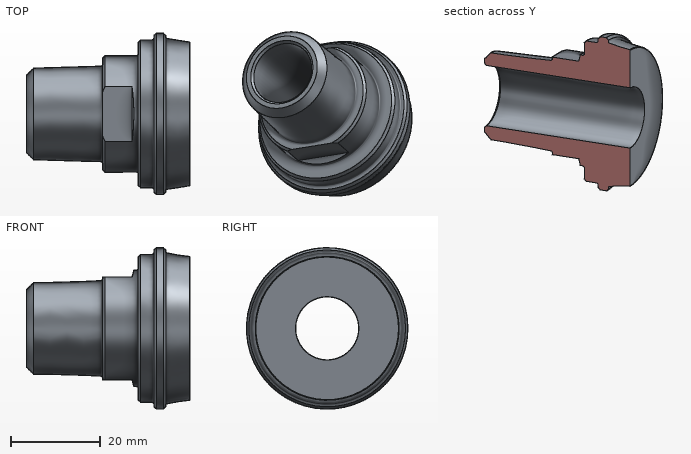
import cadquery as cq
import math

length = 36.5

bore_radius = 14.0 / 2
bore_chamfer = 0.5

tip_chamfer = 1.65
spigot_start_radius = 10.22
spigot_end_radius = 10.65

collar_start = 16.97
collar_radius = 26.0 / 2
flat_height = 11.45
flat_end = 23.55
flat_runout_angle = 15.0

flange_start = 24.93
flange_radius = 33.0 / 2
ring_start = 28.4
ring_end = 31.05
ring_radius = 36.0 / 2

nose_start = 31.3
nose_start_radius = 16.83
nose_end_radius = 16.02
nose_chamfer = 0.15

edge_chamfer = 0.55
root_fillet = 0.4


def root_arc(profile, shoulder_x, radius):
    """Add the concave quarter round where a surface meets the next shoulder."""
    center_x = shoulder_x - root_fillet
    center_r = radius + root_fillet
    middle = root_fillet * math.sqrt(0.5)
    return (
        profile.lineTo(center_x, radius)
        .threePointArc((center_x + middle, center_r - middle), (shoulder_x, center_r))
    )


def chamfered_shoulder(profile, x, radius):
    """Add a vertical shoulder face with a chamfered outer edge."""
    return profile.lineTo(x, radius - edge_chamfer).lineTo(x + edge_chamfer, radius)


def turned_body():
    profile = (
        cq.Workplane("XY")
        .moveTo(0, 0)
        .lineTo(0, spigot_start_radius - tip_chamfer)
        .lineTo(tip_chamfer, spigot_start_radius)
    )
    profile = root_arc(profile, collar_start, spigot_end_radius)
    profile = chamfered_shoulder(profile, collar_start, collar_radius)
    profile = root_arc(profile, flange_start, collar_radius)
    profile = chamfered_shoulder(profile, flange_start, flange_radius)
    profile = root_arc(profile, ring_start, flange_radius)
    profile = chamfered_shoulder(profile, ring_start, ring_radius)

    back_round = nose_start - ring_end
    middle = back_round * (1 - math.sqrt(0.5))
    profile = (
        profile.lineTo(ring_end - edge_chamfer, ring_radius)
        .lineTo(ring_end, ring_radius - edge_chamfer)
        .lineTo(ring_end, nose_start_radius + back_round)
        .threePointArc(
            (ring_end + middle, nose_start_radius + middle),
            (nose_start, nose_start_radius),
        )
        .lineTo(length - nose_chamfer, nose_end_radius)
        .lineTo(length, nose_end_radius - nose_chamfer)
        .lineTo(length, 0)
        .close()
    )
    return profile.revolve(360, (0, 0, 0), (1, 0, 0))


def bore():
    profile = (
        cq.Workplane("XY")
        .moveTo(0, 0)
        .lineTo(0, bore_radius + bore_chamfer)
        .lineTo(bore_chamfer, bore_radius)
        .lineTo(length, bore_radius)
        .lineTo(length, 0)
        .close()
    )
    return profile.revolve(360, (0, 0, 0), (1, 0, 0))


def upper_flat():
    """Cutter for the +Z wrench flat; its far end leans towards the flange."""
    cut_depth = collar_radius + root_fillet - flat_height
    runout = cut_depth * math.tan(math.radians(flat_runout_angle))
    return (
        cq.Workplane("XZ")
        .moveTo(collar_start, flat_height)
        .lineTo(flat_end, flat_height)
        .lineTo(flat_end + runout, flat_height + cut_depth)
        .lineTo(collar_start, flat_height + cut_depth)
        .close()
        .extrude(collar_radius, both=True)
    )


flat_cutter = upper_flat()
result = turned_body().cut(bore()).cut(flat_cutter).cut(flat_cutter.mirror("XY"))